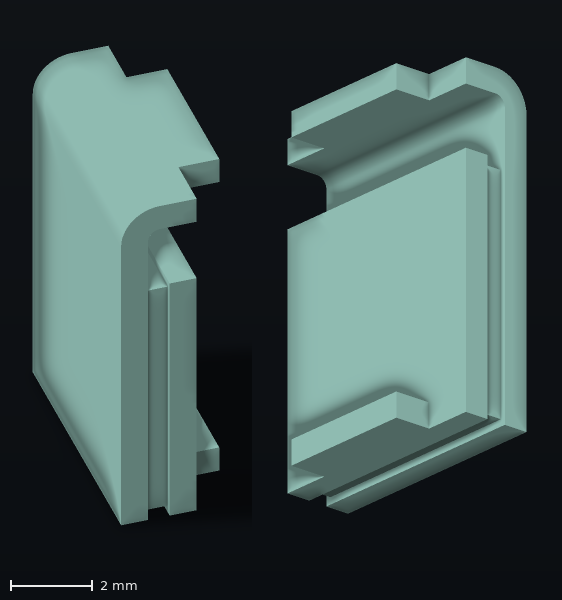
import cadquery as cq

width = 6.7
height = 9.4
depth = 3.0
sheet = 0.7
bend_radius = 1.0
core_thickness = 0.55
rear_plate_height = 7.0
core_side_inset = 0.15
core_end_inset = 0.2
tab_width = 3.94

inner_bend_radius = bend_radius - sheet
rear_plate_front = sheet + core_thickness
rear_plate_back = rear_plate_front + sheet
tab_length = depth - rear_plate_back


def block(x_size, y_start, y_size, z_start, z_size):
    """Box centred on X = 0 that starts at the given Y and Z."""
    return (
        cq.Workplane("XY")
        .box(x_size, y_size, z_size, centered=(True, False, False))
        .translate((0, y_start, z_start))
    )


def bent_plate():
    """Front plate whose top is bent back into a short flange."""
    front_plate = block(width, 0, sheet, 0, height)
    flange = block(width, 0, rear_plate_back, height - sheet, sheet)
    return (
        front_plate.union(flange)
        .edges(cq.selectors.NearestToPointSelector((0, 0, height)))
        .fillet(bend_radius)
        .edges(cq.selectors.NearestToPointSelector((0, sheet, height - sheet)))
        .fillet(inner_bend_radius)
    )


def core():
    """Spacer joining the plates, set back from the rear plate on every edge."""
    return block(
        width - 2 * core_side_inset,
        sheet,
        core_thickness,
        core_end_inset,
        rear_plate_height - 2 * core_end_inset,
    )


def rear_plate():
    return block(width, rear_plate_front, sheet, 0, rear_plate_height)


def tab(z_start):
    """Narrow solder tab reaching back to the full depth."""
    return block(tab_width, rear_plate_back, tab_length, z_start, sheet)


result = bent_plate().union(core()).union(rear_plate())
for tab_bottom in (0, height - sheet):
    result = result.union(tab(tab_bottom))